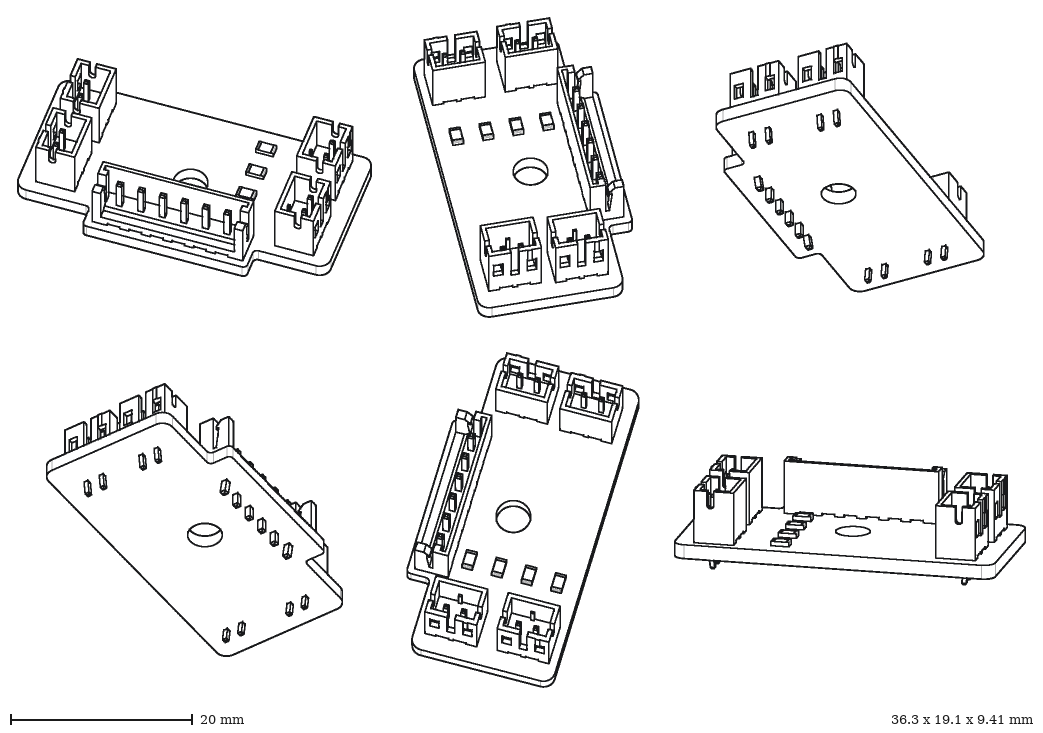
import cadquery as cq

BOARD_LENGTH = 36.3
BOARD_DEPTH = 19.05
BOARD_THICKNESS = 1.6
BOARD_CORNER_RADIUS = 1.3
MOUNTING_HOLE_DIAMETER = 3.8
TAB_DEPTH = 2.75
TAB_WIDTH = 19.05
TAB_CENTER_X = 0.15
TAB_CORNER_RADIUS = 0.5

HOUSING_HEIGHT = 6.03
HOUSING_LIFT = 0.05
NOTCH_TOP = 0.3
NOTCH_WIDTH = 1.45
PIN_TOP = 5.12
PIN_TAPER_HEIGHT = 0.2
PIN_TIP_RATIO = 0.45
PIN_KINK = 0.2

PLUG_WIDTH = 4.5
PLUG_LENGTH = 5.92
PLUG_FLOOR = 1.8
KEY_SLOT_BOTTOM = 2.18
KEYED_WALL = 0.58
PLUG_WALL = 0.5
KEY_SLOT_WIDTH = 0.9
END_SLOT_WIDTH = 0.75
END_SLOT_BOTTOM = 4.05
END_SLOT_X = -0.38
WINDOW_WIDTH = 1.05
WINDOW_BOTTOM = 2.5
WINDOW_TOP = 4.3
WINDOW_OFFSET = 1.9
INNER_RIB_WIDTH = 0.4
INNER_RIB_DEPTH = 0.2
INNER_RIB_TOP = 3.75
OUTER_RIB_WIDTH = 0.5
OUTER_RIB_DEPTH = 0.07
OUTER_RIB_Y = -1.67
PLUG_PIN_COUNT = 2
PLUG_PIN_WIDTH = 0.5
PLUG_PIN_PITCH = 2.0
PLUG_PIN_X = -0.55
PLUG_PIN_REACH = 1.78

PLUG_PLACES = [
    (-13.58, 5.1, 0),
    (-13.9, -2.35, 0),
    (13.7, 5.63, 180),
    (13.9, -2.58, 180),
]

HEADER_LENGTH = 17.5
HEADER_DEPTH = 3.8
HEADER_X = 0.25
HEADER_Y = -4.9
HEADER_FLOOR = 1.53
HEADER_WALL = 0.45
SILL_HEIGHT = 1.2
SILL_RAMP_START = 2.45
SILL_RAMP_END = 2.85
JAW_WIDTH = 0.98
JAW_START = 1.0
JAW_END = 1.78
LATCH_FOOT = 2.18
LATCH_ROOT = 2.47
LATCH_TIP = 2.15
LATCH_CREST = 2.8
LATCH_HEIGHT = 5.25
LATCH_TIP_TOP = 4.55
LATCH_TIP_BOTTOM = 4.3
LATCH_ROOT_HEIGHT = 4.05
HEADER_PIN_COUNT = 6
HEADER_PIN_WIDTH = 0.65
HEADER_PIN_PITCH = 2.5
HEADER_PIN_Y = -1.6
HEADER_PIN_REACH = 1.67

CHIP_LENGTH = 2.05
CHIP_WIDTH = 1.2
CHIP_HEIGHT = 0.55
TERMINAL_LENGTH = 0.31
TERMINAL_STEP = 0.05
TERMINAL_RADIUS = 0.1
CHIP_COUNT = 4
CHIP_X = 6.43
CHIP_LAST_Y = -3.2
CHIP_PITCH = 3.395


def block(x_range, y_range, z_range):
    """Axis-aligned box between pairs of limits."""
    (x0, x1), (y0, y1), (z0, z1) = x_range, y_range, z_range
    return cq.Workplane("XY").box(x1 - x0, y1 - y0, z1 - z0, centered=False).translate((x0, y0, z0))


def square_wire(center, width):
    """Horizontal square outline around a point."""
    x, y, z = center
    return cq.Wire.makePolygon(
        [
            cq.Vector(x - width / 2, y - width / 2, z),
            cq.Vector(x + width / 2, y - width / 2, z),
            cq.Vector(x + width / 2, y + width / 2, z),
            cq.Vector(x - width / 2, y + width / 2, z),
        ],
        close=True,
    )


def make_pin(x, y, width, reach, kink=(0, 0)):
    """Square pin with tapered tips; a kinked pin swings out inside the board and back below it."""
    kink_x, kink_y = kink
    shank_bottom = PIN_TAPER_HEIGHT - BOARD_THICKNESS - reach
    tip = width * PIN_TIP_RATIO
    sections = [
        square_wire((x, y, -BOARD_THICKNESS - reach), tip),
        square_wire((x, y, shank_bottom), width),
        square_wire((x + kink_x, y + kink_y, -BOARD_THICKNESS), width),
        square_wire((x, y, 0), width),
        square_wire((x, y, PIN_TOP - PIN_TAPER_HEIGHT), width),
        square_wire((x, y, PIN_TOP), tip),
    ]
    return cq.Workplane(cq.Solid.makeLoft(sections, True))


def row_positions(count, pitch):
    """Evenly spaced positions centred on zero."""
    return [(index - (count - 1) / 2) * pitch for index in range(count)]


PLUG_PIN_ROW = row_positions(PLUG_PIN_COUNT, PLUG_PIN_PITCH)
HEADER_PIN_ROW = row_positions(HEADER_PIN_COUNT, HEADER_PIN_PITCH)


def make_plug_pins():
    pins = cq.Workplane()
    for pin_y in PLUG_PIN_ROW:
        pins = pins.add(make_pin(PLUG_PIN_X, pin_y, PLUG_PIN_WIDTH, PLUG_PIN_REACH, (-PIN_KINK, 0)))
    return pins


def make_plug_housing():
    half_width = PLUG_WIDTH / 2
    half_length = PLUG_LENGTH / 2
    inner_left = KEYED_WALL - half_width
    inner_right = half_width - PLUG_WALL
    inner_end = half_length - PLUG_WALL
    across = (-half_width, half_width)
    keyed_wall = (-half_width, inner_left)

    shell = block(across, (-half_length, half_length), (HOUSING_LIFT, HOUSING_HEIGHT))
    shell = shell.cut(
        block((inner_left, inner_right), (-inner_end, inner_end), (PLUG_FLOOR, HOUSING_HEIGHT))
    )

    shell = shell.cut(
        block(keyed_wall, (-KEY_SLOT_WIDTH / 2, KEY_SLOT_WIDTH / 2), (KEY_SLOT_BOTTOM, HOUSING_HEIGHT))
    )
    for side in (-1, 1):
        window_y = side * WINDOW_OFFSET
        window_span = (window_y - WINDOW_WIDTH / 2, window_y + WINDOW_WIDTH / 2)
        shell = shell.cut(block(keyed_wall, window_span, (WINDOW_BOTTOM, WINDOW_TOP)))

    slot_radius = END_SLOT_WIDTH / 2
    slot_axis_z = END_SLOT_BOTTOM + slot_radius
    end_slots = (
        cq.Workplane("XZ")
        .moveTo(END_SLOT_X - slot_radius, HOUSING_HEIGHT)
        .lineTo(END_SLOT_X - slot_radius, slot_axis_z)
        .threePointArc((END_SLOT_X, END_SLOT_BOTTOM), (END_SLOT_X + slot_radius, slot_axis_z))
        .lineTo(END_SLOT_X + slot_radius, HOUSING_HEIGHT)
        .close()
        .extrude(half_length, both=True)
    )
    shell = shell.cut(end_slots)

    for notch_y in PLUG_PIN_ROW:
        notch_span = (notch_y - NOTCH_WIDTH / 2, notch_y + NOTCH_WIDTH / 2)
        shell = shell.cut(block(across, notch_span, (HOUSING_LIFT, NOTCH_TOP)))

    inner_rib = block(
        (inner_right - INNER_RIB_DEPTH, inner_right),
        (-INNER_RIB_WIDTH / 2, INNER_RIB_WIDTH / 2),
        (PLUG_FLOOR, INNER_RIB_TOP),
    )
    outer_rib = block(
        (-half_width - OUTER_RIB_DEPTH, -half_width),
        (OUTER_RIB_Y - OUTER_RIB_WIDTH / 2, OUTER_RIB_Y + OUTER_RIB_WIDTH / 2),
        (WINDOW_TOP, HOUSING_HEIGHT),
    )
    return shell.union(inner_rib).union(outer_rib)


def make_header_pins():
    pins = cq.Workplane()
    for pin_x in HEADER_PIN_ROW:
        is_end_pin = pin_x in (HEADER_PIN_ROW[0], HEADER_PIN_ROW[-1])
        kink = (0, -PIN_KINK) if is_end_pin else (0, 0)
        pins = pins.add(make_pin(pin_x, HEADER_PIN_Y, HEADER_PIN_WIDTH, HEADER_PIN_REACH, kink))
    return pins


def extrude_header_profile(points, x0, x1):
    """Extrude a (distance from back face, height) outline between two X positions."""
    profile = cq.Workplane("YZ").polyline([(-distance, height) for distance, height in points]).close()
    return profile.extrude(x1 - x0).translate((x0, 0, 0))


def make_header_housing():
    half_length = HEADER_LENGTH / 2
    base_outline = [
        (0, HOUSING_LIFT),
        (HEADER_DEPTH, HOUSING_LIFT),
        (HEADER_DEPTH, SILL_HEIGHT),
        (SILL_RAMP_END, SILL_HEIGHT),
        (SILL_RAMP_START, HEADER_FLOOR),
        (0, HEADER_FLOOR),
    ]
    latch_outline = [
        (LATCH_FOOT, HOUSING_LIFT),
        (LATCH_FOOT, HEADER_FLOOR),
        (LATCH_ROOT, LATCH_ROOT_HEIGHT),
        (LATCH_ROOT, LATCH_TIP_BOTTOM),
        (LATCH_TIP, LATCH_TIP_BOTTOM),
        (LATCH_TIP, LATCH_TIP_TOP),
        (LATCH_CREST, LATCH_HEIGHT),
        (HEADER_DEPTH, LATCH_HEIGHT),
        (HEADER_DEPTH, HOUSING_LIFT),
    ]
    housing = extrude_header_profile(base_outline, -half_length, half_length)
    upper = (HEADER_FLOOR, HOUSING_HEIGHT)
    housing = housing.union(block((-half_length, half_length), (-HEADER_WALL, 0), upper))

    for outer, inner_direction in ((-half_length, 1), (half_length, -1)):
        wall_span = sorted((outer, outer + inner_direction * HEADER_WALL))
        jaw_span = sorted((outer, outer + inner_direction * JAW_WIDTH))
        housing = housing.union(block(wall_span, (-JAW_END, 0), upper))
        housing = housing.union(block(jaw_span, (-JAW_END, -JAW_START), upper))
        housing = housing.union(extrude_header_profile(latch_outline, *jaw_span))

    for notch_x in HEADER_PIN_ROW:
        notch_span = (notch_x - NOTCH_WIDTH / 2, notch_x + NOTCH_WIDTH / 2)
        housing = housing.cut(block(notch_span, (-HEADER_DEPTH, 0), (HOUSING_LIFT, NOTCH_TOP)))
    return housing


def make_chip():
    half_length = CHIP_LENGTH / 2
    half_body = half_length - TERMINAL_LENGTH
    width_span = (-CHIP_WIDTH / 2, CHIP_WIDTH / 2)
    chip = block((-half_body, half_body), width_span, (0, CHIP_HEIGHT - TERMINAL_STEP))
    left = block((-half_length, -half_body), width_span, (0, CHIP_HEIGHT))
    left = left.edges("<X and >Z").fillet(TERMINAL_RADIUS)
    return chip.union(left).union(left.mirror("YZ"))


def make_board(pins):
    """Board with a tab on its -Y edge, a mounting hole and a fitting hole for every pin."""
    half_length = BOARD_LENGTH / 2
    half_depth = BOARD_DEPTH / 2
    main_bottom = TAB_DEPTH - half_depth
    tab_left = TAB_CENTER_X - TAB_WIDTH / 2
    tab_right = TAB_CENTER_X + TAB_WIDTH / 2
    thickness = (0, BOARD_THICKNESS)

    board = block((-half_length, half_length), (main_bottom, half_depth), thickness)
    board = board.edges("|Z").fillet(BOARD_CORNER_RADIUS)
    tab = block((tab_left, tab_right), (-half_depth, 0), thickness)
    tab = tab.edges("|Z and <Y").fillet(TAB_CORNER_RADIUS)
    board = board.union(tab)
    for tab_side in (tab_left, tab_right):
        inner_corner = cq.selectors.NearestToPointSelector((tab_side, main_bottom, BOARD_THICKNESS / 2))
        board = board.edges(inner_corner).fillet(TAB_CORNER_RADIUS)

    board = board.cut(cq.Workplane("XY").circle(MOUNTING_HOLE_DIAMETER / 2).extrude(BOARD_THICKNESS))
    for pin in pins:
        board = board.cut(cq.Workplane(pin))
    return board


def place_plug(shape, place):
    """Move a shape from the two-pin connector's frame to one of its places."""
    x, y, turn = place
    return shape.rotate(cq.Vector(), cq.Vector(0, 0, 1), turn).translate(cq.Vector(x, y, BOARD_THICKNESS))


def join(housing, pins):
    """Housing and its moulded-in pins as one connector."""
    for pin in pins.vals():
        housing = housing.union(cq.Workplane(pin))
    return housing.val()


plug_pins = make_plug_pins()
plug = join(make_plug_housing(), plug_pins)
plugs = [place_plug(plug, place) for place in PLUG_PLACES]

header_position = cq.Vector(HEADER_X, HEADER_Y, BOARD_THICKNESS)
header_pins = make_header_pins()
header = join(make_header_housing(), header_pins).translate(header_position)

chip = make_chip().val()
chips = [
    chip.translate(cq.Vector(CHIP_X, CHIP_LAST_Y + index * CHIP_PITCH, BOARD_THICKNESS))
    for index in range(CHIP_COUNT)
]

placed_pins = [pin.translate(header_position) for pin in header_pins.vals()]
for plug_place in PLUG_PLACES:
    placed_pins += [place_plug(pin, plug_place) for pin in plug_pins.vals()]
board = make_board(placed_pins)

result = cq.Compound.makeCompound([board.val(), *plugs, header, *chips])